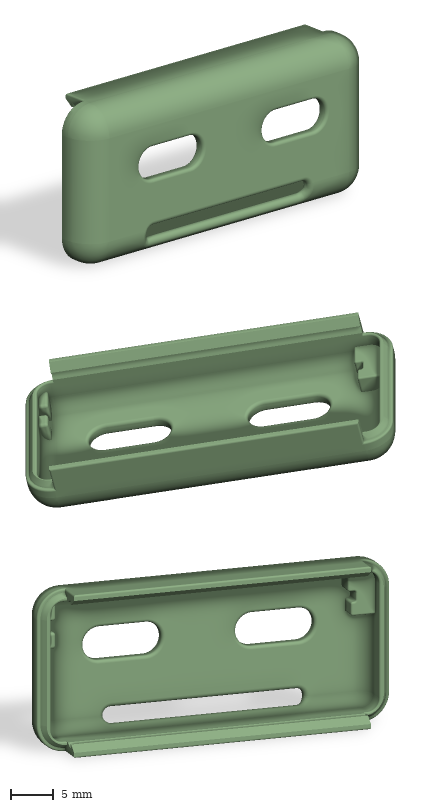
import cadquery as cq
import math

depth = 7.85
length = 43.85
height = 19.78

shell_front = 3.2
corner_radius = 3.45
back_radius = 3.45
edge_round = 0.2

lip_front = 2.5
lip_foot_inset = 0.45
lip_top_inset = 0.95

end_wall = 1.5
side_wall = 1.35
mouth_round = 0.2
floor_x = 6.35
floor_radius = 1.55

flange_half_length = length / 2 - corner_radius
flange_nose = 0.65
barb_tip_x = 1.05
barb_height = 1.4
barb_root_x = 1.2
barb_root = 0.85
ramp_end_x = 2.2

hole_length = 9.82
hole_height = 4.08
hole_places = [(10.15, 1.85), (-8.85, 1.75)]
hole_round = 0.4
slot_length = 25.0
slot_height = 1.95
slot_z = -height / 2 + 2.9
slot_round = 0.55
rim_margin = 0.05

plate_front = 4.15
plate_upper_reach = 4.82
plate_notch_reach = 3.8
plate_lower_reach = 4.45
plate_notch_top = 4.05
plate_notch_bottom = 5.35
plate_bottom = 7.0
plate_corner = 0.25
plate_round = 0.2

rib_front = 3.73
rib_reach = 2.55
rib_round = 0.35
upper_rib_bottom = 4.0
lower_rib_top = 5.4
lower_rib_bottom = 7.35

floor_overlap = 0.2


def rounded_prism(x, distance, end_inset, side_inset, radius, taper=0.0):
    """Rounded rectangle set in from the outer faces, extruded along +X (or -X if negative)."""
    outline = (
        cq.Sketch()
        .rect(length - 2 * end_inset, height - 2 * side_inset)
        .vertices()
        .fillet(radius)
    )
    plane = cq.Workplane("YZ", origin=(x, 0, 0))
    return plane.placeSketch(outline).extrude(distance, taper=taper)


def make_shell():
    shell = rounded_prism(shell_front, depth - shell_front, 0, 0, corner_radius)
    return shell.faces(">X").edges().fillet(back_radius).faces("<X").edges().fillet(edge_round)


def make_lip():
    rise = shell_front - lip_front
    slope = math.degrees(math.atan2(lip_top_inset - lip_foot_inset, rise))
    foot_radius = corner_radius - lip_foot_inset
    return rounded_prism(shell_front, -rise, lip_foot_inset, lip_foot_inset, foot_radius, slope)


def make_cavity():
    """Straight-walled pocket with a rounded floor, leaving the corner plate and ribs standing."""
    pocket = rounded_prism(lip_front, floor_x - lip_front, end_wall, side_wall, floor_radius)
    pocket = pocket.faces(">X").edges().fillet(floor_radius)
    pocket = pocket.cut(make_plate())
    pocket = pocket.cut(make_rib(0, upper_rib_bottom))
    return pocket.cut(make_rib(lower_rib_top, lower_rib_bottom))


def make_tray():
    """Hollow shell with the lip around its mouth, the inner rim of the lip rounded over."""
    tray = make_shell().union(make_lip()).cut(make_cavity())
    mouth = tray.faces("<X").wires(cq.selectors.LengthNthSelector(0)).edges()
    return mouth.fillet(mouth_round)


def make_flange():
    """Upper snap flange; the barb hooks toward the middle of the part."""
    top = height / 2
    profile = [
        (0, top),
        (0, top - flange_nose),
        (barb_tip_x, top - barb_height),
        (barb_root_x, top - barb_height),
        (barb_root_x, top - barb_root),
        (ramp_end_x, top - side_wall),
        (shell_front + edge_round, top - side_wall),
        (shell_front + edge_round, top),
    ]
    flange = cq.Workplane("XZ").polyline(profile).close().extrude(flange_half_length, both=True)
    outer_rim = flange.faces(">Z").edges("<X or <Y or >Y")
    return outer_rim.fillet(edge_round)


def edges_within(y_range, z_range):
    """Selector for the edges lying wholly inside a box, leaving out those along X."""
    low = (0, y_range[0], z_range[0])
    high = (depth + rim_margin, y_range[1], z_range[1])
    inside = cq.selectors.BoxSelector(low, high, boundingbox=True)
    return inside - cq.selectors.ParallelDirSelector(cq.Vector(1, 0, 0))


def cut_through_floor(body, y, z, opening_length, opening_height, edge_radius):
    """Obround opening through the floor with its edges rounded over on both sides."""
    plane = cq.Workplane("YZ", origin=(floor_x - floor_radius, y, z))
    body = body.cut(plane.slot2D(opening_length, opening_height).extrude(depth))
    half_length = opening_length / 2 + rim_margin
    half_height = opening_height / 2 + rim_margin
    rim = edges_within((y - half_length, y + half_length), (z - half_height, z + half_height))
    return body.edges(rim).fillet(edge_radius)


def make_plate():
    """Notched plate filling the upper corner of the cavity at the -Y end."""
    end = -length / 2
    top = height / 2
    outline = [
        (end, top),
        (end + plate_upper_reach, top),
        (end + plate_upper_reach, top - plate_notch_top),
        (end + plate_notch_reach, top - plate_notch_top),
        (end + plate_notch_reach, top - plate_notch_bottom),
        (end + plate_lower_reach, top - plate_notch_bottom),
        (end + plate_lower_reach, top - plate_bottom),
        (end, top - plate_bottom),
    ]
    plane = cq.Workplane("YZ", origin=(plate_front, 0, 0))
    plate = plane.polyline(outline).close().extrude(floor_x + floor_overlap - plate_front)
    plate = plate.edges("|X").fillet(plate_corner)
    return plate.faces("<X").edges().fillet(plate_round)


def make_rib(top_inset, bottom_inset):
    """Short rib on the +Y end wall with its exposed edges rounded over."""
    rib_depth = floor_x + floor_overlap - rib_front
    rib = cq.Workplane("XY").box(rib_depth, rib_reach, bottom_inset - top_inset, centered=False)
    rib = rib.translate((rib_front, length / 2 - rib_reach, height / 2 - bottom_inset))
    return rib.faces("<X or <Y").edges().fillet(rib_round)


result = make_tray()
for hole_y, hole_z in hole_places:
    result = cut_through_floor(result, hole_y, hole_z, hole_length, hole_height, hole_round)
result = cut_through_floor(result, 0, slot_z, slot_length, slot_height, slot_round)
upper_flange = make_flange()
result = result.union(upper_flange).union(upper_flange.mirror("XY"))